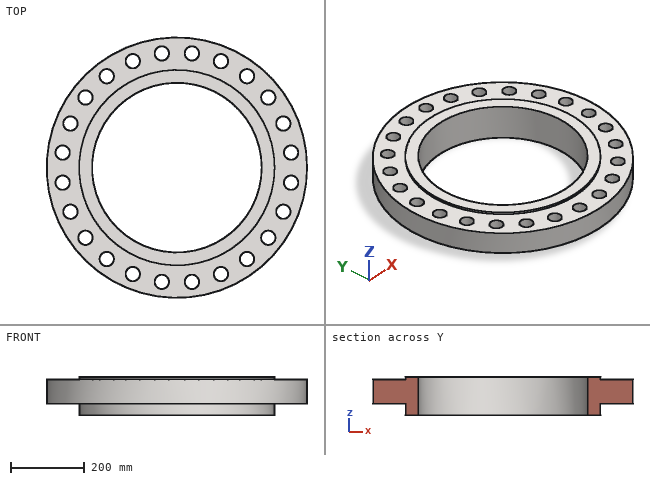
import cadquery as cq

flange_diameter = 711.0
bore_diameter = 462.0
total_height = 104.5

collar_diameter = 533.5
raised_face_height = 6.5
hub_height = 31.0
flange_thickness = total_height - raised_face_height - hub_height

bolt_count = 24
bolt_circle_diameter = 629.0
bolt_hole_diameter = 38.5
bolt_pitch_angle = 360.0 / bolt_count


def disc(diameter, height, base_z):
    return cq.Workplane("XY").workplane(offset=base_z).circle(diameter / 2).extrude(height)


collar = disc(collar_diameter, total_height, 0)
flange = disc(flange_diameter, flange_thickness, hub_height)
body = collar.union(flange)

bore = disc(bore_diameter, total_height, 0)

bolt_holes = (
    cq.Workplane("XY")
    .workplane(offset=hub_height)
    .polarArray(bolt_circle_diameter / 2, bolt_pitch_angle / 2, 360, bolt_count)
    .circle(bolt_hole_diameter / 2)
    .extrude(flange_thickness)
)

result = body.cut(bore).cut(bolt_holes)